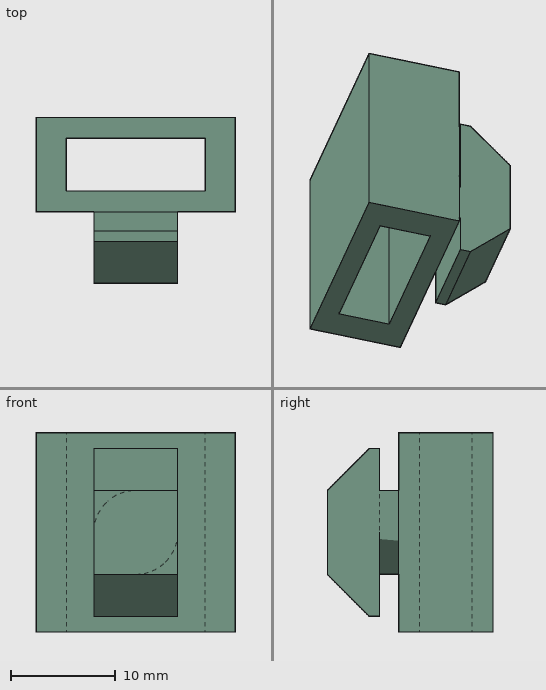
import cadquery as cq

sleeve_side = 19.0
sleeve_depth = 9.0
window_width = 13.2
window_depth = 5.0

lug_width = 8.0
stem_length = 1.8
head_height = 2 * lug_width
head_depth = 5.0
rim_depth = 1.0

head_back = -sleeve_depth / 2 - stem_length
head_front = head_back - head_depth


def make_sleeve():
    outer = cq.Workplane("XY").box(sleeve_side, sleeve_depth, sleeve_side)
    window = cq.Workplane("XY").box(window_width, window_depth, sleeve_side)
    return outer.cut(window)


def make_stem():
    """Square stem with two opposite corners fully rounded so the lug can turn."""
    half = lug_width / 2
    diagonal = half / 2**0.5
    return (
        cq.Workplane("XZ", origin=(0, -sleeve_depth / 2, 0))
        .moveTo(-half, -half)
        .lineTo(-half, 0)
        .threePointArc((-diagonal, diagonal), (0, half))
        .lineTo(half, half)
        .lineTo(half, 0)
        .threePointArc((diagonal, -diagonal), (0, -half))
        .close()
        .extrude(stem_length)
    )


def make_head():
    """Lug head with sloped upper and lower ends, extruded along X."""
    half_height = head_height / 2
    half_flat = lug_width / 2
    rim_front = head_back - rim_depth
    profile = [
        (head_back, -half_height),
        (rim_front, -half_height),
        (head_front, -half_flat),
        (head_front, half_flat),
        (rim_front, half_height),
        (head_back, half_height),
    ]
    return cq.Workplane("YZ").polyline(profile).close().extrude(lug_width / 2, both=True)


result = make_sleeve().union(make_stem()).union(make_head())